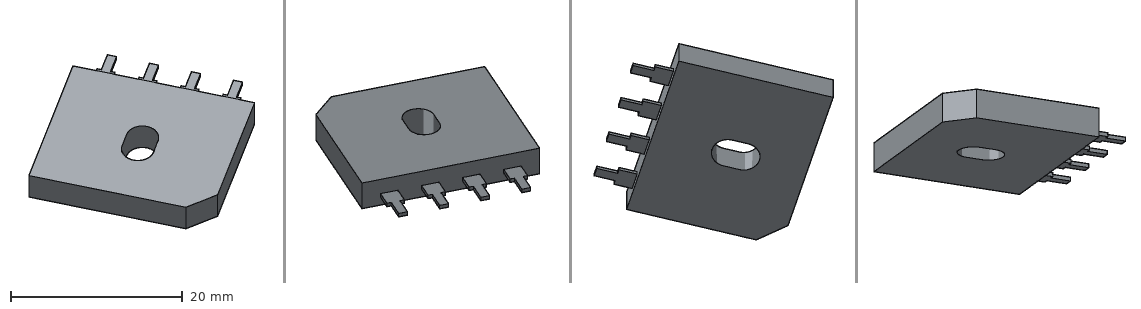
import cadquery as cq

HOUSING_WIDTH = 22.0
HOUSING_DEPTH = 18.7
HOUSING_HEIGHT = 3.55
CORNER_CUT = 3.0

SLOT_WIDTH = 3.8
SLOT_LENGTH = 5.71
SLOT_CENTRE_Y = 8.65

TOTAL_DEPTH = 23.42
LEAD_COUNT = 4
LEAD_PITCH = 5.08
LEAD_THICKNESS = 0.5
LEAD_BOTTOM_Z = 1.1
LEAD_TIP_WIDTH = 1.1
LEAD_SHOULDER_WIDTH = 2.15
LEAD_SHOULDER_LENGTH = 2.2


def make_housing():
    """Rectangular block with one cut-off front corner and a through slot."""
    right_x = HOUSING_WIDTH / 2
    left_x = -right_x
    block = (
        cq.Workplane("XY")
        .moveTo(left_x, 0)
        .lineTo(right_x - CORNER_CUT, 0)
        .lineTo(right_x, CORNER_CUT)
        .lineTo(right_x, HOUSING_DEPTH)
        .lineTo(left_x, HOUSING_DEPTH)
        .close()
        .extrude(HOUSING_HEIGHT)
    )
    slot = (
        cq.Workplane("XY")
        .center(0, SLOT_CENTRE_Y)
        .slot2D(SLOT_LENGTH, SLOT_WIDTH, angle=90)
        .extrude(HOUSING_HEIGHT)
    )
    return block.cut(slot)


def make_lead(centre_x):
    """Flat lead: a wide shoulder against the housing, then a narrow tip."""
    shoulder_x = LEAD_SHOULDER_WIDTH / 2
    tip_x = LEAD_TIP_WIDTH / 2
    lead_length = TOTAL_DEPTH - HOUSING_DEPTH
    return (
        cq.Workplane("XY", origin=(centre_x, HOUSING_DEPTH, LEAD_BOTTOM_Z))
        .moveTo(-shoulder_x, 0)
        .lineTo(shoulder_x, 0)
        .lineTo(shoulder_x, LEAD_SHOULDER_LENGTH)
        .lineTo(tip_x, LEAD_SHOULDER_LENGTH)
        .lineTo(tip_x, lead_length)
        .lineTo(-tip_x, lead_length)
        .lineTo(-tip_x, LEAD_SHOULDER_LENGTH)
        .lineTo(-shoulder_x, LEAD_SHOULDER_LENGTH)
        .close()
        .extrude(LEAD_THICKNESS)
    )


housing = make_housing()

first_lead_x = -LEAD_PITCH * (LEAD_COUNT - 1) / 2
leads = []
for index in range(LEAD_COUNT):
    leads.append(make_lead(first_lead_x + index * LEAD_PITCH).val())

result = cq.Compound.makeCompound([housing.val(), *leads])